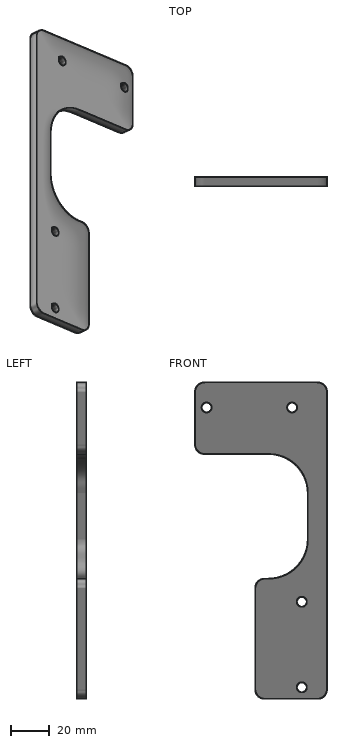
import cadquery as cq

width = 68.0
height = 163.0
thickness = 5.0

upper_arm_height = 37.0
lower_arm_height = 62.0
lower_arm_width = 37.0
strip_width = 10.0

corner_radius = 5.0
throat_radius = 20.0

hole_diameter = 5.0
hole_spacing = 44.0
upper_holes_left_offset = 6.0
upper_holes_top_offset = 13.0
lower_holes_right_offset = 13.0
lower_holes_bottom_offset = 6.0

lower_arm_left = width - lower_arm_width
strip_left = width - strip_width
upper_arm_bottom = height - upper_arm_height

outer_corners = [
    (0, height),
    (width, height),
    (width, 0),
    (lower_arm_left, 0),
    (lower_arm_left, lower_arm_height),
    (0, upper_arm_bottom),
]
throat_corners = [
    (strip_left, lower_arm_height),
    (strip_left, upper_arm_bottom),
]

upper_hole_z = height - upper_holes_top_offset
lower_hole_x = width - lower_holes_right_offset
hole_centers = []
for step in (0, hole_spacing):
    hole_centers.append((upper_holes_left_offset + step, upper_hole_z))
    hole_centers.append((lower_hole_x, lower_holes_bottom_offset + step))


def make_blank():
    """Sharp-cornered plate with its front face on Y = 0."""
    return (
        cq.Workplane("XZ")
        .moveTo(0, height)
        .lineTo(width, height)
        .lineTo(width, 0)
        .lineTo(lower_arm_left, 0)
        .lineTo(lower_arm_left, lower_arm_height)
        .lineTo(strip_left, lower_arm_height)
        .lineTo(strip_left, upper_arm_bottom)
        .lineTo(0, upper_arm_bottom)
        .close()
        .extrude(-thickness)
    )


def round_corners(plate, corners, radius):
    """Round the through-thickness edges standing at the given (x, z) corners."""
    middle_y = thickness / 2
    for x, z in corners:
        nearest = cq.selectors.NearestToPointSelector((x, middle_y, z))
        plate = plate.edges("|Y").edges(nearest).fillet(radius)
    return plate


def drill_holes(plate):
    """Cut the four holes through the full thickness."""
    drills = (
        cq.Workplane("XZ")
        .pushPoints(hole_centers)
        .circle(hole_diameter / 2)
        .extrude(-thickness)
    )
    return plate.cut(drills)


plate = make_blank()
plate = round_corners(plate, outer_corners, corner_radius)
plate = round_corners(plate, throat_corners, throat_radius)
result = drill_holes(plate)